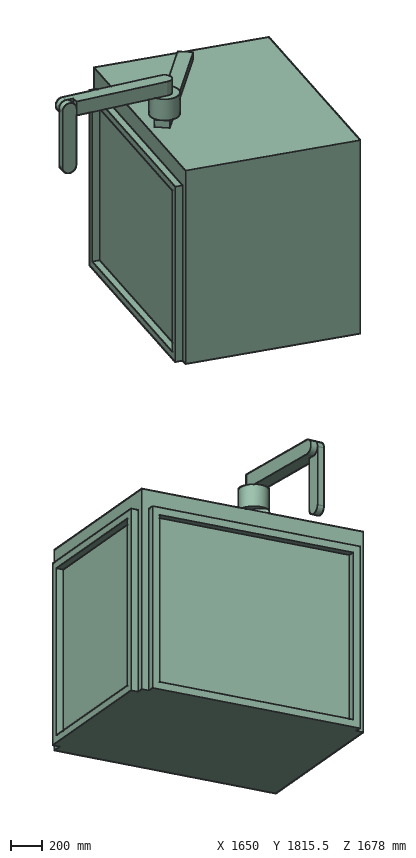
import cadquery as cq

housing_length = 1600.0
housing_depth = 1200.0
housing_height = 1378.0
frame_border = 50.0
frame_projection = 50.0
frame_side_margin = 50.0
frame_rear_margin = 75.0
frame_height = 1249.0

pivot_x = 880.0
pivot_y = 138.0
bar_width = 100.0
bar_thickness = 50.0
bar_reach = 900.0
bar_tail = 100.0
bar_angle = 150
post_diameter = 200.0
post_height = 150.0
arm_width = 100.0
arm_thickness = 100.0
arm_reach = 752.0
arm_angle = -85
drop_length = 500.0
drop_thickness = arm_width / 2
tip_radius = arm_thickness / 2

bar_bottom = housing_height
post_bottom = bar_bottom + bar_thickness
arm_bottom = post_bottom + post_height


def corner_box(length, depth, height):
    return cq.Workplane("XY").box(length, depth, height, centered=False)


def place_at_pivot(body, angle, bottom):
    """Turn a body that lies along +X to its heading and move it onto the pivot axis."""
    return body.rotate((0, 0, 0), (0, 0, 1), angle).translate((pivot_x, pivot_y, bottom))


def window_frame(width):
    """Upright frame in the XZ plane, projecting from Y = 0 toward -Y."""
    opening_width = width - 2 * frame_border
    opening_height = frame_height - 2 * frame_border
    frame = corner_box(width, frame_projection, frame_height)
    opening = corner_box(opening_width, frame_projection, opening_height)
    opening = opening.translate((frame_border, 0, frame_border))
    return frame.cut(opening).translate((0, -frame_projection, 0))


def make_housing():
    front_width = housing_length - 2 * frame_side_margin
    front_frame = window_frame(front_width).translate((frame_side_margin, 0, 0))
    side_width = housing_depth - frame_side_margin - frame_rear_margin
    side_frame = window_frame(side_width).rotate((0, 0, 0), (0, 0, 1), -90)
    side_frame = side_frame.translate((0, housing_depth - frame_rear_margin, 0))
    block = corner_box(housing_length, housing_depth, housing_height)
    return block.union(front_frame).union(side_frame)


def make_base_bar():
    bar = corner_box(bar_tail + bar_reach, bar_width, bar_thickness)
    bar = bar.translate((-bar_tail, -bar_width / 2, 0))
    return place_at_pivot(bar, bar_angle, bar_bottom)


def make_post():
    post = cq.Workplane("XY").circle(post_diameter / 2).extrude(post_height)
    return place_at_pivot(post, 0, post_bottom)


def make_swing_arm():
    """Arm with a round pivot end, a round-nosed tip and a half-width lap for the drop link."""
    half_width = arm_width / 2
    nose_start = arm_reach - tip_radius
    pivot_end = cq.Workplane("XY").circle(half_width).extrude(arm_thickness)
    beam = (
        cq.Workplane("XZ")
        .lineTo(nose_start, 0)
        .threePointArc((arm_reach, tip_radius), (nose_start, arm_thickness))
        .lineTo(0, arm_thickness)
        .close()
        .extrude(half_width, both=True)
    )
    lap = corner_box(2 * tip_radius, drop_thickness, arm_thickness)
    lap = lap.translate((arm_reach - 2 * tip_radius, half_width - drop_thickness, 0))
    return place_at_pivot(pivot_end.union(beam).cut(lap), arm_angle, arm_bottom)


def make_drop_link():
    """Flat link with two round ends, hanging in the lap of the swing arm."""
    link = (
        cq.Workplane("XZ")
        .center(arm_reach - tip_radius, arm_thickness - drop_length / 2)
        .slot2D(drop_length, 2 * tip_radius, 90)
        .extrude(-drop_thickness)
        .translate((0, arm_width / 2 - drop_thickness, 0))
    )
    return place_at_pivot(link, arm_angle, arm_bottom)


housing = make_housing()
base_bar = make_base_bar()
post = make_post()
swing_arm = make_swing_arm()
drop_link = make_drop_link()

result = cq.Compound.makeCompound(
    [housing.val(), base_bar.val(), post.val(), swing_arm.val(), drop_link.val()]
)